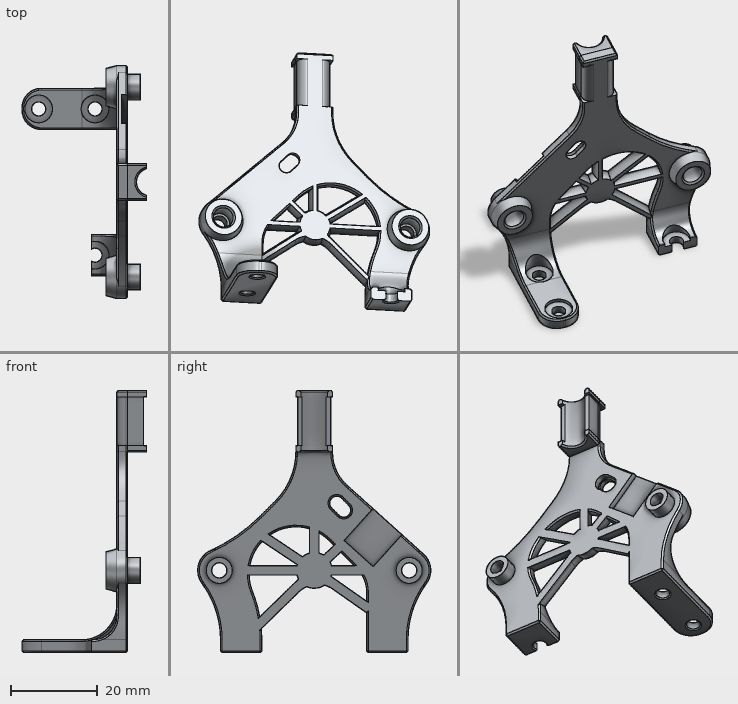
import cadquery as cq
import math


plate_thickness = 2.5
edge_chamfer = 0.4
edge_land = plate_thickness - edge_chamfer
total_height = 60.55
shoulder_angle = 45.0

boss_spacing = 43.84
boss_height = 19.0
boss_radius = 5.0
boss_front_radius = 4.3
boss_length = 2.5
boss_bore = 4.6
bore_chamfer = 0.45
pin_diameter = 6.0
pin_length = 3.0
pin_bore = 3.45
boss_centres = [(side * boss_spacing / 2, boss_height) for side in (1, -1)]

foot_inner = 12.1
foot_outer = 21.65
foot_middle = (foot_inner + foot_outer) / 2
foot_thickness = 3.0
long_foot_reach = 21.86
long_foot_blend = 8.0
long_foot_corner = 4.5
short_foot_reach = 5.85
short_foot_blend = 5.5
screw_diameter = 3.2
screw_head_diameter = 6.4
screw_head_floor = 2.2
screw_hole_chamfer = 0.3
near_screw_x = -5.0
far_screw_x = -18.0

tower_half_width = 4.25
column_half_width = 3.85
column_round = 2.1
flange_thickness = 1.5
column_bottom = 47.8
column_top = total_height - flange_thickness
cradle_depth = 4.4
cradle_back = plate_thickness + cradle_depth
column_back = cradle_back - 0.7
groove_radius = 3.2
groove_axis_x = 7.8

slope_angle = 48.0
slope_blend = 10.0
shoulder_blend = 16.2
shoulder_start = (-9.0, 35.0)
shoulder_end_y = -12.5

arch_centre = (-4.2, 18.2)
inner_leg_radius = 30.0
arch_corner_radius = 8.0

hub_centre = (0.0, boss_height)
hub_radius = 3.55
spoke_width = 1.0
web_flare = 0.6
spokes = [(0, 17.0), (33.7, 15.0), (90, 12.0), (137, 11.0), (180, 13.0), (215, 15.6), (315.7, 18.6)]
lower_spoke_angles = (215, 315.7)
web_bottom_radius = 6.7

slot_centre = (6.0, 33.7)
slot_width = 3.2
slot_length = 5.5
slot_angle = 135.0
slot_rear_width = 4.0
recess_floor_x = 1.15
recess_corner = (20.3, 27.3)
recess_width = 9.0
recess_depth = 10.0


def polar(centre, radius, angle):
    turn = math.radians(angle)
    return (centre[0] + radius * math.cos(turn), centre[1] + radius * math.sin(turn))


def direction(start, end):
    return math.degrees(math.atan2(end[1] - start[1], end[0] - start[0]))


def arc(path, centre, radius, start, end):
    """Continue the path along an arc from angle start to angle end."""
    return path.threePointArc(polar(centre, radius, (start + end) / 2), polar(centre, radius, end))


def line_and_arc(path, centre, radius, start, end):
    """Continue the path straight to the start of an arc, then along the arc."""
    return arc(path.lineTo(*polar(centre, radius, start)), centre, radius, start, end)


def plate_outline(x):
    """Closed outline of tower, shoulders, legs and arch, on the plane at x."""
    boss_a, boss_b = boss_centres

    rise = boss_height - foot_thickness
    inset = boss_a[0] - foot_outer
    leg_radius = (rise**2 + inset**2 - boss_radius**2) / (2 * (boss_radius + inset))
    leg_a = (foot_outer + leg_radius, foot_thickness)
    leg_b = (-leg_a[0], foot_thickness)

    normal = math.radians(slope_angle)
    blend_a_y = tower_half_width + slope_blend
    blend_a_rise = boss_radius + slope_blend - (blend_a_y - boss_a[0]) * math.cos(normal)
    blend_a = (blend_a_y, boss_height + blend_a_rise / math.sin(normal))

    up_normal = 180 - shoulder_angle
    blend_b = polar(shoulder_start, shoulder_blend, up_normal)
    shoulder_end = (shoulder_end_y, shoulder_start[1] + shoulder_end_y - shoulder_start[0])
    span = (shoulder_end[0] - boss_b[0], shoulder_end[1] - boss_b[1])
    along_normal = (span[1] - span[0]) * math.sin(math.radians(shoulder_angle))
    sweep_radius = (span[0] ** 2 + span[1] ** 2 - boss_radius**2) / (2 * (boss_radius - along_normal))
    sweep_centre = polar(shoulder_end, sweep_radius, up_normal)

    inner_leg = (-foot_inner - inner_leg_radius, foot_thickness)
    arch_radius = math.dist(inner_leg, arch_centre) - inner_leg_radius
    inner_angle = direction(inner_leg, arch_centre)
    corner_y = foot_inner - arch_corner_radius
    corner_rise = (arch_radius - arch_corner_radius) * math.sqrt(2) - (corner_y - arch_centre[0])
    corner = (corner_y, arch_centre[1] + corner_rise)

    path = cq.Workplane("YZ", origin=(x, 0, 0)).moveTo(foot_outer, 0)
    path = line_and_arc(path, leg_a, leg_radius, 180, direction(leg_a, boss_a) % 360)
    path = arc(path, boss_a, boss_radius, direction(boss_a, leg_a), slope_angle)
    path = line_and_arc(path, blend_a, slope_blend, 180 + slope_angle, 180)
    path = path.lineTo(tower_half_width, column_bottom).lineTo(-tower_half_width, column_bottom)
    path = line_and_arc(path, blend_b, shoulder_blend, 0, -shoulder_angle)
    path = line_and_arc(path, sweep_centre, sweep_radius, -shoulder_angle, direction(sweep_centre, boss_b))
    path = arc(
        path, boss_b, boss_radius, direction(boss_b, sweep_centre), direction(boss_b, leg_b) % 360
    )
    path = arc(path, leg_b, leg_radius, direction(leg_b, boss_b), 0)
    path = path.lineTo(-foot_outer, 0).lineTo(-foot_inner, 0)
    path = line_and_arc(path, inner_leg, inner_leg_radius, 0, inner_angle)
    path = arc(path, arch_centre, arch_radius, inner_angle + 180, shoulder_angle)
    path = line_and_arc(path, corner, arch_corner_radius, shoulder_angle, 0)
    return path.lineTo(foot_inner, 0).close()


def leg(side, reach, blend):
    """Foot and its blend into the plate, cut to the plate's outline."""
    middle = math.sqrt(0.5) * blend
    profile = (
        cq.Workplane("XZ", origin=(0, side * foot_middle, 0))
        .moveTo(plate_thickness, 0)
        .lineTo(-reach, 0)
        .lineTo(-reach, foot_thickness)
        .lineTo(-blend, foot_thickness)
        .threePointArc((middle - blend, foot_thickness + blend - middle), (0, foot_thickness + blend))
        .lineTo(plate_thickness, foot_thickness + blend)
        .close()
        .extrude(foot_outer - foot_inner, both=True)
    )
    return profile.intersect(plate_outline(-reach).extrude(reach + plate_thickness))


def front_rim(body):
    """Edges around the front faces of plate, blends and feet, without the seams between those faces."""
    long_end = foot_thickness + long_foot_blend
    seen = {}
    for face in body.faces().vals():
        normal = face.normalAt()
        box = face.BoundingBox()
        is_plate = normal.x < -0.99 and abs(box.xmin) < 1e-3
        is_blend = normal.x < -0.1 and normal.z > 0.1 and abs(normal.y) < 1e-3 and box.zmax < long_end + 1e-3
        is_foot_top = normal.z > 0.99 and box.zmax < foot_thickness + 1e-3
        if is_plate or is_blend or is_foot_top:
            for edge in face.Edges():
                seen.setdefault(edge.hashCode(), []).append(edge)
    rim = [found[0] for found in seen.values() if len(found) == 1]
    rim = [e for e in rim if e.Center().z < column_bottom - 1e-3 and e.Center().x > -short_foot_reach + 1e-3
           or e.Center().x < -short_foot_reach - 1e-3]
    return rim


def chamfered_frame():
    """Plate and legs in one piece, with every outer edge broken."""
    long_leg = leg(1, long_foot_reach, long_foot_blend).edges("|Z and <X").fillet(long_foot_corner)
    short_leg = leg(-1, short_foot_reach, short_foot_blend)
    frame = plate_outline(0).extrude(plate_thickness).union(long_leg).union(short_leg).clean()
    frame = frame.newObject(front_rim(frame)).chamfer(edge_chamfer)
    rear = frame.faces(">X").edges().vals()
    rear = [edge for edge in rear if edge.Center().z < column_bottom - edge_chamfer]
    underside = [edge for edge in frame.faces("<Z").edges().vals() if edge.Center().x < edge_land]
    underside = [edge for edge in underside if abs(edge.Center().x + short_foot_reach) > edge_chamfer]
    return frame.newObject(rear + underside).chamfer(edge_chamfer)


def boss(centre):
    """Cone in front of the plate on a cylinder inside it."""
    y, z = centre
    cone = (
        cq.Workplane("YZ", origin=(-boss_length, y, z))
        .circle(boss_front_radius)
        .workplane(offset=boss_length)
        .circle(boss_radius)
        .loft()
    )
    return cone.union(cq.Workplane("YZ", origin=(0, y, z)).circle(boss_radius).extrude(edge_land))


def boss_hole(centre):
    """Chamfered bore through boss and plate."""
    y, z = centre
    bore_radius = boss_bore / 2
    bore = cq.Workplane("YZ", origin=(-boss_length, y, z)).circle(bore_radius)
    bore = bore.extrude(boss_length + plate_thickness)
    mouth = cq.Solid.makeCone(
        bore_radius + bore_chamfer, bore_radius, bore_chamfer, cq.Vector(-boss_length, y, z), cq.Vector(1, 0, 0)
    )
    return bore.union(cq.Workplane(mouth))


def screw_hole(x, side):
    """Screw hole with a head recess that also clears the blend above it."""
    y = side * foot_middle
    radius = screw_diameter / 2
    hole = cq.Workplane("XY", origin=(x, y, 0)).circle(radius).extrude(foot_thickness)
    head = cq.Workplane("XY", origin=(x, y, screw_head_floor)).circle(screw_head_diameter / 2)
    mouth = cq.Solid.makeCone(radius + screw_hole_chamfer, radius, screw_hole_chamfer, cq.Vector(x, y, 0))
    return hole.union(head.extrude(long_foot_blend)).union(cq.Workplane(mouth))


def column():
    """Tower column with rounded front corners, and the plate's share of the top flange."""
    height = column_top - column_bottom
    post = (
        cq.Workplane("XY", origin=(plate_thickness / 2, 0, column_bottom + height / 2))
        .box(plate_thickness, 2 * column_half_width, height)
        .edges("|Z and <X")
        .fillet(column_round)
    )
    return post.union(flange(0, plate_thickness, column_top).faces(">Z").edges("not(>X)").chamfer(edge_chamfer))


def flange(front, back, bottom):
    """Flat plate as wide as the tower."""
    return (
        cq.Workplane("XY", origin=((front + back) / 2, 0, bottom + flange_thickness / 2))
        .box(back - front, 2 * tower_half_width, flange_thickness)
    )


def web_plane(x):
    return cq.Workplane("YZ", origin=(x, *hub_centre))


def spoke(angle, length):
    """Spoke pointing at an angle from -Y towards +Z."""

    def outline(growth, x):
        return web_plane(x).center(-length / 2, 0).rect(length, spoke_width + 2 * growth)

    return flared(outline).rotate((0, *hub_centre), (1, *hub_centre), -angle)


def hub():
    return flared(lambda growth, x: web_plane(x).circle(hub_radius + growth))


def web_underside():
    """Rounded gusset between the two lowest spokes."""
    left, right = lower_spoke_angles

    def outline(growth, x):
        radius = web_bottom_radius - growth
        half_angle = math.radians(right - left) / 2
        bisector = 180 - (left + right) / 2
        offset = spoke_width / 2 + growth
        centre = polar((0, 0), (radius + offset) / math.sin(half_angle), bisector)
        right_end = polar(centre, radius, 180 - right - 90)
        left_end = polar(centre, radius, 180 - left + 90)
        bottom = polar(centre, radius, bisector + 180)
        return web_plane(x).moveTo(0, 0).lineTo(*right_end).threePointArc(bottom, left_end).close()

    return flared(outline)


def flared(outline):
    """Body that widens from the front to the rear land, then runs straight."""
    rear = outline(web_flare, edge_land)
    wires = [outline(0, 0).wires().val(), rear.wires().val()]
    return cq.Workplane(cq.Solid.makeLoft(wires, True)).union(rear.extrude(edge_chamfer))


def slotted_hole():
    """Slot through the plate, wider behind the recess floor."""
    front = (
        cq.Workplane("YZ", origin=(0, *slot_centre)).slot2D(slot_length, slot_width, slot_angle)
        .extrude(plate_thickness)
    )
    rear_length = slot_length + slot_rear_width - slot_width
    rear = (
        cq.Workplane("YZ", origin=(recess_floor_x, *slot_centre))
        .slot2D(rear_length, slot_rear_width, slot_angle)
        .extrude(plate_thickness)
    )
    return front.union(rear)


def edge_recess():
    """Rear recess, open at the long straight edge and square to it."""
    depth_with_overrun = 2 * recess_depth
    return (
        cq.Workplane("YZ", origin=(recess_floor_x, *recess_corner))
        .transformed(rotate=(0, 0, slope_angle))
        .center(0, recess_width / 2)
        .rect(depth_with_overrun, recess_width)
        .extrude(plate_thickness)
    )


def make_bracket():
    body = chamfered_frame().union(column())
    body = body.union(hub()).union(web_underside())
    for angle, length in spokes:
        body = body.union(spoke(angle, length))
    for centre in boss_centres:
        body = body.union(boss(centre))
    for centre in boss_centres:
        body = body.cut(boss_hole(centre))
    for x, side in [(near_screw_x, 1), (far_screw_x, 1), (near_screw_x, -1)]:
        body = body.cut(screw_hole(x, side))
    return body.cut(slotted_hole()).cut(edge_recess())


def make_cradle():
    """Column back between two flanges, hollowed by a vertical groove."""
    height = column_top - column_bottom
    post = (
        cq.Workplane("XY", origin=((plate_thickness + column_back) / 2, 0, column_bottom + height / 2))
        .box(column_back - plate_thickness, 2 * column_half_width, height)
    )
    top = flange(plate_thickness, cradle_back, column_top)
    bottom = flange(plate_thickness, cradle_back, column_bottom - flange_thickness)
    body = post.union(top).union(bottom)
    groove = cq.Workplane("XY", origin=(groove_axis_x, 0, 0)).circle(groove_radius).extrude(2 * total_height)
    body = body.cut(groove)
    return body.faces(">Z or <Z").edges("not(<X)").edges("not(>X)").chamfer(edge_chamfer)


def make_pin(centre):
    return (
        cq.Workplane("YZ", origin=(plate_thickness, *centre))
        .circle(pin_diameter / 2)
        .circle(pin_bore / 2)
        .extrude(pin_length)
    )


bracket = make_bracket()
cradle = make_cradle()
pins = [make_pin(centre) for centre in boss_centres]

result = cq.Compound.makeCompound([bracket.val(), cradle.val(), *[pin.val() for pin in pins]])